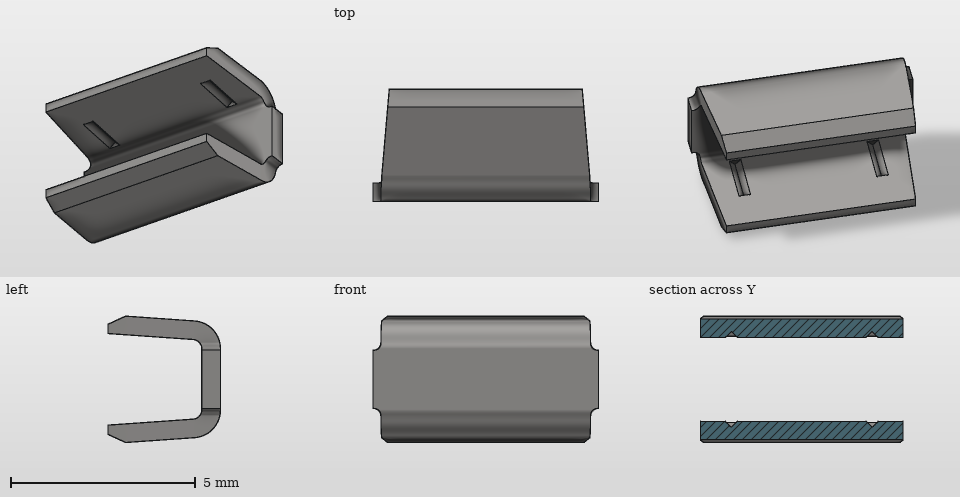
import cadquery as cq
import math

length = 6.12
depth = 3.05
height = 3.43

thickness = 0.51
bend_radius = 0.76
splay = math.radians(4.0)
tip_bevel_depth = 0.48
tip_bevel_drop = 0.22

web_end_half_height = 0.79
leg_half_length_at_web = 2.845
leg_half_length_at_bend = 2.819
leg_half_length_at_tip = 2.617
notch_radius = 0.2

groove_width = 0.32
groove_depth = groove_width / 2
groove_center_x = 1.905
groove_end_y = 2.04

inner_radius = bend_radius - thickness
bevel_start_y = depth - tip_bevel_depth
bevel_start_z = height / 2
outer_tangent_y = bend_radius * (1 - math.sin(splay))
outer_tangent_z = bevel_start_z - (bevel_start_y - outer_tangent_y) * math.tan(splay)
bend_center_z = outer_tangent_z - bend_radius * math.cos(splay)
inner_tangent_y = bend_radius - inner_radius * math.sin(splay)
inner_tangent_z = bend_center_z + inner_radius * math.cos(splay)
inner_tip_z = inner_tangent_z + (depth - inner_tangent_y) * math.tan(splay)


def bend_point(radius):
    """Point halfway round the upper bend, in the YZ plane."""
    angle = (math.pi / 2 - splay) / 2
    return (bend_radius - radius * math.cos(angle), bend_center_z + radius * math.sin(angle))


def upper_half():
    """Upper half of the U section, extruded over the full length."""
    return (
        cq.Workplane("YZ")
        .moveTo(0, 0)
        .lineTo(0, bend_center_z)
        .threePointArc(bend_point(bend_radius), (outer_tangent_y, outer_tangent_z))
        .lineTo(bevel_start_y, bevel_start_z)
        .lineTo(depth, bevel_start_z - tip_bevel_drop)
        .lineTo(depth, inner_tip_z)
        .lineTo(inner_tangent_y, inner_tangent_z)
        .threePointArc(bend_point(inner_radius), (thickness, bend_center_z))
        .lineTo(thickness, 0)
        .close()
        .extrude(length / 2, both=True)
    )


def end_notch():
    """Cutter that tapers the +X end of the upper leg, rounded where it meets the web."""
    return (
        cq.Workplane("XY")
        .workplane(offset=web_end_half_height)
        .moveTo(leg_half_length_at_web, 0)
        .lineTo(length, 0)
        .lineTo(length, depth)
        .lineTo(leg_half_length_at_tip, depth)
        .lineTo(leg_half_length_at_bend, outer_tangent_y)
        .close()
        .extrude(height)
        .edges("<Z")
        .edges("not(|X or |Y)")
        .fillet(notch_radius)
    )


def leg_groove():
    """V groove cutter in the inner face of the upper leg at +X, from the bend towards the tip."""
    leg_face = cq.Plane(
        origin=(groove_center_x, inner_tangent_y, inner_tangent_z),
        xDir=(1, 0, 0),
        normal=(0, math.cos(splay), math.sin(splay)),
    )
    groove_length = (groove_end_y - inner_tangent_y) / math.cos(splay)
    return (
        cq.Workplane(leg_face)
        .moveTo(-groove_width / 2, 0)
        .lineTo(groove_width / 2, 0)
        .lineTo(0, -groove_depth)
        .close()
        .extrude(groove_length)
    )


half = upper_half()
for cutter in (end_notch(), leg_groove()):
    half = half.cut(cutter).cut(cutter.mirror("YZ"))

result = half.union(half.mirror("XY")).clean()